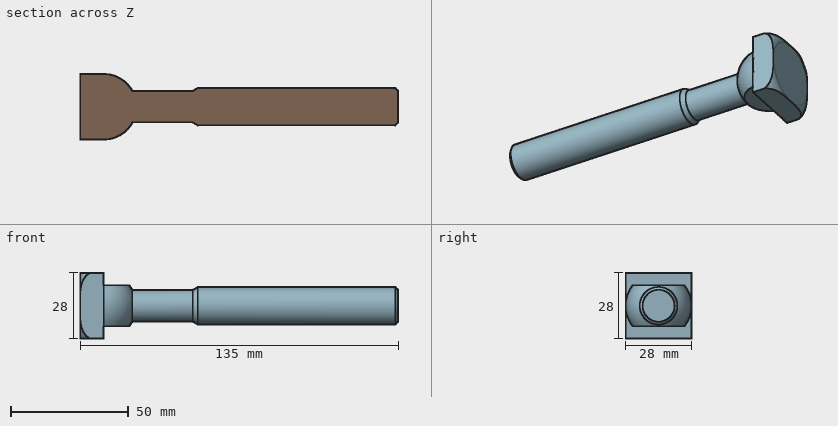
import cadquery as cq
import math

total_length = 135.0
head_width = 28.0
head_thickness = 10.0
corner_rounding = 6.0
collar_width = 17.5
neck_diameter = 13.5
shank_diameter = 16.0
shank_length = 85.0
shoulder_angle = 30.0
end_chamfer = 1.227

shank_start = total_length - shank_length
head_half = head_width / 2
neck_radius = neck_diameter / 2
shank_radius = shank_diameter / 2
shoulder_length = (shank_radius - neck_radius) / math.tan(math.radians(shoulder_angle))
neck_end = shank_start - shoulder_length


def revolve_about_x(profile):
    return profile.close().revolve(360, (0, 0, 0), (1, 0, 0))


def make_head():
    """Square plate whose corners round off around the circle inscribed in its outer face."""
    plate = cq.Workplane("XY").box(
        head_thickness, head_width, head_width, centered=(False, True, True)
    )
    arc_offset = corner_rounding * math.sqrt(0.5)
    envelope_radius = head_half + corner_rounding
    envelope = revolve_about_x(
        cq.Workplane("XY")
        .lineTo(0, head_half)
        .threePointArc(
            (corner_rounding - arc_offset, head_half + arc_offset),
            (corner_rounding, envelope_radius),
        )
        .lineTo(head_thickness, envelope_radius)
        .lineTo(head_thickness, 0)
    )
    return plate.intersect(envelope)


def make_collar():
    """Half ball as wide as the head, seated under it and flattened on both Z sides."""
    ball = cq.Workplane("XY").sphere(head_half)
    slab = cq.Workplane("XY").box(
        head_half, head_width, collar_width, centered=(False, True, True)
    )
    return ball.intersect(slab).translate((head_thickness, 0, 0))


def make_shaft():
    """Neck, conical shoulder and shank with a chamfered free end."""
    return revolve_about_x(
        cq.Workplane("XY")
        .moveTo(head_thickness, 0)
        .lineTo(head_thickness, neck_radius)
        .lineTo(neck_end, neck_radius)
        .lineTo(shank_start, shank_radius)
        .lineTo(total_length - end_chamfer, shank_radius)
        .lineTo(total_length, shank_radius - end_chamfer)
        .lineTo(total_length, 0)
    )


result = make_head().union(make_collar()).union(make_shaft())